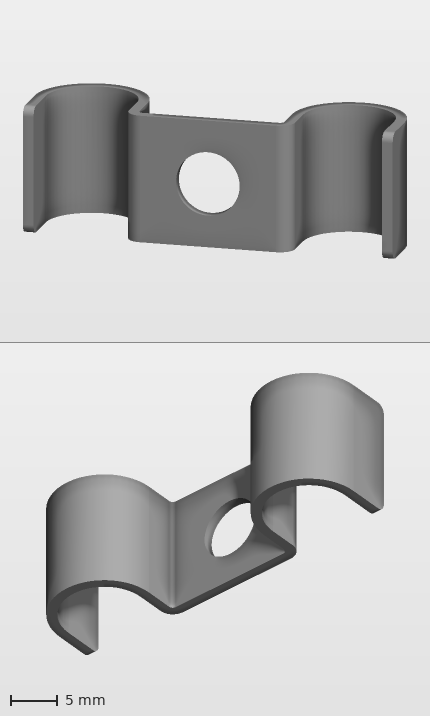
import cadquery as cq

length = 40.8
depth = 11.2
width = 14.0
thickness = 1.2
arch_radius = 6.2
bend_inner_radius = 0.5
hole_diameter = 7.0
corner_radius = 0.98

arch_inner_radius = arch_radius - thickness
arch_x = length / 2 - arch_radius
arch_y = depth - arch_radius
inner_leg_x = arch_x - arch_radius
bend_outer_radius = bend_inner_radius + thickness
bend_x = inner_leg_x + thickness - bend_outer_radius
bend_y = bend_outer_radius


def half_strip():
    """Right half of the strip: web, bend, inner leg, arch and free outer leg."""
    diagonal = 0.5 ** 0.5
    return (
        cq.Workplane("XY")
        .moveTo(0, 0)
        .lineTo(bend_x, 0)
        .threePointArc(
            (bend_x + bend_outer_radius * diagonal, bend_y - bend_outer_radius * diagonal),
            (bend_x + bend_outer_radius, bend_y),
        )
        .lineTo(arch_x - arch_inner_radius, arch_y)
        .threePointArc((arch_x, arch_y + arch_inner_radius), (arch_x + arch_inner_radius, arch_y))
        .lineTo(arch_x + arch_inner_radius, 0)
        .lineTo(arch_x + arch_radius, 0)
        .lineTo(arch_x + arch_radius, arch_y)
        .threePointArc((arch_x, depth), (inner_leg_x, arch_y))
        .lineTo(inner_leg_x, bend_y)
        .threePointArc(
            (bend_x + bend_inner_radius * diagonal, bend_y - bend_inner_radius * diagonal),
            (bend_x, thickness),
        )
        .lineTo(0, thickness)
        .close()
        .extrude(width)
        .edges(cq.selectors.BoxSelector(
            (arch_x, -thickness, -thickness),
            (length, thickness / 2, width + thickness),
        ))
        .edges("|X")
        .fillet(corner_radius)
    )


def web_hole():
    """Cylinder that pierces the middle of the web."""
    return (
        cq.Workplane("XZ", origin=(0, thickness, width / 2))
        .circle(hole_diameter / 2)
        .extrude(thickness)
    )


right_half = half_strip()
strip = right_half.union(right_half.mirror("YZ")).clean()
result = strip.cut(web_hole())